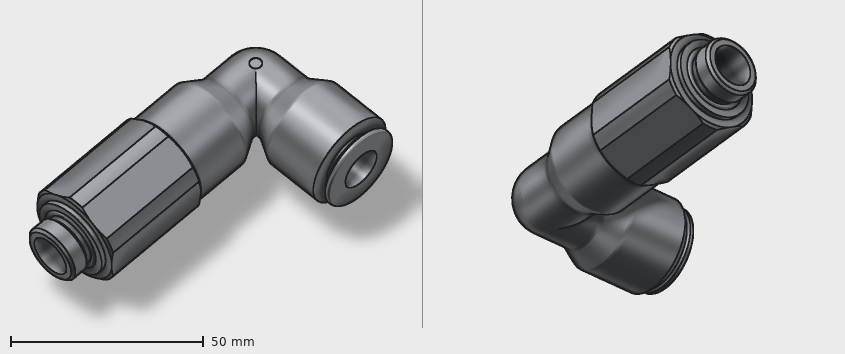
import cadquery as cq
import math

elbow_radius = 10.0
bore_radius = 5.8

body_radius = 13.5
cone_at = 11.0
cone_length = 6.3
cone_blend_radius = 2.0
body_end_at = 34.0

groove_radius = 12.6
nut_start_at = 34.3
hex_sides = 6
hex_across_flats = 27.0
hex_corner_radius = 14.5
hex_face_radius = 13.6
hex_chamfer_length = 0.5
hex_end_at = 67.35

flange_radius = 11.3
flange_end_at = 68.8
seal_section_radius = 0.8
seal_at = 68.6
neck_radius = 7.5
thread_radius = 8.35
thread_start_at = 71.4
thread_chamfer = thread_radius - neck_radius
tip_at = 76.3

collar_neck_radius = 8.5
collar_radius = 12.0
collar_start_at = 36.3
collar_end_at = 38.25
collar_chamfer = 0.6
collar_edge_radius = 0.6

pad_radius = 1.7
pad_top = 10.1


def turned(profile):
    """Revolve (radius, distance) points about the axis of the -Y leg."""
    outline = [(radius, -distance) for radius, distance in profile]
    return cq.Workplane("XY").polyline(outline).close().revolve(360, (0, 0, 0), (0, 1, 0))


def toward_x(leg):
    """Swing a leg from -Y round to +X."""
    return leg.rotate((0, 0, 0), (0, 0, 1), 90)


def make_shoulder():
    shoulder = turned([
        (0, 0),
        (elbow_radius, 0),
        (elbow_radius, cone_at),
        (body_radius, cone_at + cone_length),
        (body_radius, body_end_at),
        (0, body_end_at),
    ])
    cone_ends = shoulder.faces("%CONE").edges("%CIRCLE")
    return cone_ends.fillet(cone_blend_radius)


def make_nut():
    prism_length = hex_end_at - body_end_at
    half_side_angle = 180 / hex_sides
    corner_to_corner = hex_across_flats / math.cos(math.radians(half_side_angle))
    prism = (
        cq.Workplane("XZ", origin=(0, -body_end_at, 0))
        .transformed(rotate=(0, 0, half_side_angle))
        .polygon(hex_sides, corner_to_corner)
        .extrude(prism_length)
    )
    envelope = turned([
        (0, body_end_at),
        (groove_radius, body_end_at),
        (groove_radius, nut_start_at),
        (hex_face_radius, nut_start_at),
        (hex_corner_radius, nut_start_at + hex_chamfer_length),
        (hex_corner_radius, hex_end_at - hex_chamfer_length),
        (hex_face_radius, hex_end_at),
        (0, hex_end_at),
    ])
    return prism.intersect(envelope)


def make_spigot():
    return turned([
        (0, hex_end_at),
        (flange_radius, hex_end_at),
        (flange_radius, flange_end_at),
        (neck_radius, flange_end_at),
        (neck_radius, thread_start_at - thread_chamfer),
        (thread_radius, thread_start_at),
        (thread_radius, tip_at - thread_chamfer),
        (thread_radius - thread_chamfer, tip_at),
        (0, tip_at),
    ])


def make_seal():
    """O-ring lying round the neck, partly sunk into the flange."""
    ring_radius = neck_radius + seal_section_radius
    section = cq.Workplane("XY").center(ring_radius, -seal_at).circle(seal_section_radius)
    return section.revolve(360, (-ring_radius, 0, 0), (-ring_radius, 1, 0))


def make_collar():
    neck = cq.Workplane("YZ", origin=(body_end_at, 0, 0)).circle(collar_neck_radius)
    neck = neck.extrude(collar_start_at - body_end_at)
    rim = cq.Workplane("YZ", origin=(collar_start_at, 0, 0)).circle(collar_radius)
    rim = rim.extrude(collar_end_at - collar_start_at)
    rim = rim.faces("<X").edges().chamfer(collar_chamfer)
    rim = rim.faces(">X").edges().fillet(collar_edge_radius)
    return neck.union(rim)


def make_bore():
    nut_bore = turned([(0, 0), (bore_radius, 0), (bore_radius, tip_at), (0, tip_at)])
    collar_bore = cq.Workplane("YZ").circle(bore_radius).extrude(collar_end_at)
    return nut_bore.union(collar_bore).union(cq.Workplane("XY").sphere(bore_radius))


shoulder = make_shoulder()
pad = cq.Workplane("XY", origin=(0, 0, bore_radius)).circle(pad_radius).extrude(pad_top - bore_radius)

result = (
    cq.Workplane("XY")
    .sphere(elbow_radius)
    .union(shoulder)
    .union(toward_x(shoulder))
    .union(make_nut())
    .union(make_spigot())
    .union(make_seal())
    .union(make_collar())
    .union(pad)
    .cut(make_bore())
)